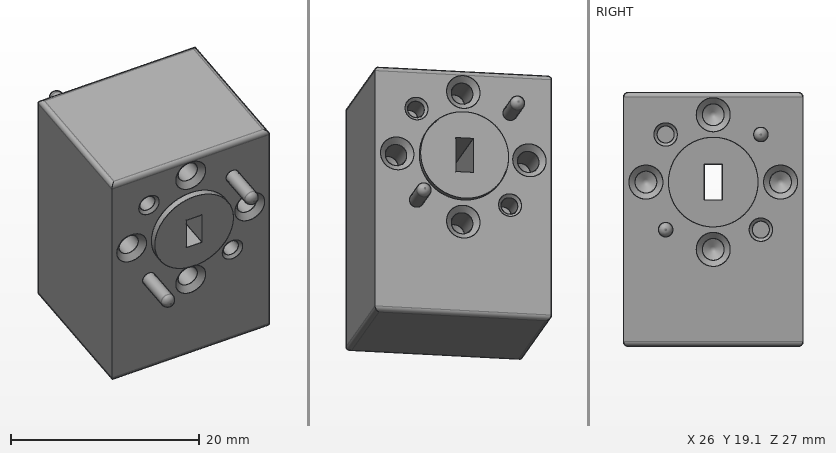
import cadquery as cq
import math

block_width = 16.35
block_depth = 19.1
block_height = 27.0
flange_below_top = 9.53
edge_radius = 0.5

opening_width = 1.9
opening_height = 3.75

boss_diameter = 9.53
boss_height = 0.75
pattern_radius = 7.15

screw_hole_diameter = 2.32
screw_sink_diameter = 3.62
screw_hole_depth = 5.4
drill_tip_angle = 118.0

pin_hole_diameter = 1.8
pin_sink_diameter = 2.48
pin_hole_depth = 4.05

pin_diameter = 1.55
pin_tip_radius = 0.7
overall_width = 26.0
pin_length = (overall_width - block_width) / 2

face_x = -block_width / 2

screw_angles = (0, 90, 180, 270)
pin_hole_angles = (45, 225)
pin_angles = (135, 315)

overlap = 0.27


def place_on_pattern(body, angle):
    """Move a body lying on the X axis to an angle on the pattern circle, measured from +Y to +Z."""
    y = pattern_radius * math.cos(math.radians(angle))
    z = pattern_radius * math.sin(math.radians(angle))
    return body.translate((0, y, z))


def make_block():
    """Block with rounded edges around its top and bottom faces."""
    center_z = flange_below_top - block_height / 2
    block = cq.Workplane("XY").box(block_width, block_depth, block_height)
    return block.faces("<Z or >Z").edges().fillet(edge_radius).translate((0, 0, center_z))


def make_boss():
    """Round raised disc on the -X face."""
    start = cq.Workplane("YZ", origin=(face_x - boss_height, 0, 0))
    return start.circle(boss_diameter / 2).extrude(boss_height + overlap)


def make_pin():
    """Alignment pin standing out of the -X face, with a rounded tip."""
    start = cq.Workplane("YZ", origin=(face_x - pin_length, 0, 0))
    pin = start.circle(pin_diameter / 2).extrude(pin_length + overlap)
    return pin.faces("<X").edges().fillet(pin_tip_radius)


def make_sunk_hole(diameter, sink_diameter, depth, tip_depth):
    """Cutter for a blind hole in the -X face with a 90 degree countersink and an optional conical tip."""
    radius = diameter / 2
    sink_radius = sink_diameter / 2
    bottom_x = face_x + depth
    profile = cq.Workplane("XY").moveTo(face_x, 0).lineTo(face_x, sink_radius)
    profile = profile.lineTo(face_x + sink_radius - radius, radius).lineTo(bottom_x, radius)
    profile = profile.lineTo(bottom_x + tip_depth, 0).close()
    return profile.revolve(360, (0, 0, 0), (1, 0, 0))


screw_tip_depth = screw_hole_diameter / 2 / math.tan(math.radians(drill_tip_angle / 2))
screw_hole = make_sunk_hole(screw_hole_diameter, screw_sink_diameter, screw_hole_depth, screw_tip_depth)
pin_hole = make_sunk_hole(pin_hole_diameter, pin_sink_diameter, pin_hole_depth, 0)

result = make_block()

for face_turn in (0, 180):
    additions = [make_boss()]
    additions += [place_on_pattern(make_pin(), angle) for angle in pin_angles]
    cutters = [place_on_pattern(screw_hole, angle) for angle in screw_angles]
    cutters += [place_on_pattern(pin_hole, angle) for angle in pin_hole_angles]
    for body in additions:
        result = result.union(body.rotate((0, 0, 0), (0, 0, 1), face_turn))
    for cutter in cutters:
        result = result.cut(cutter.rotate((0, 0, 0), (0, 0, 1), face_turn))

result = result.cut(cq.Workplane("XY").box(overall_width, opening_width, opening_height))